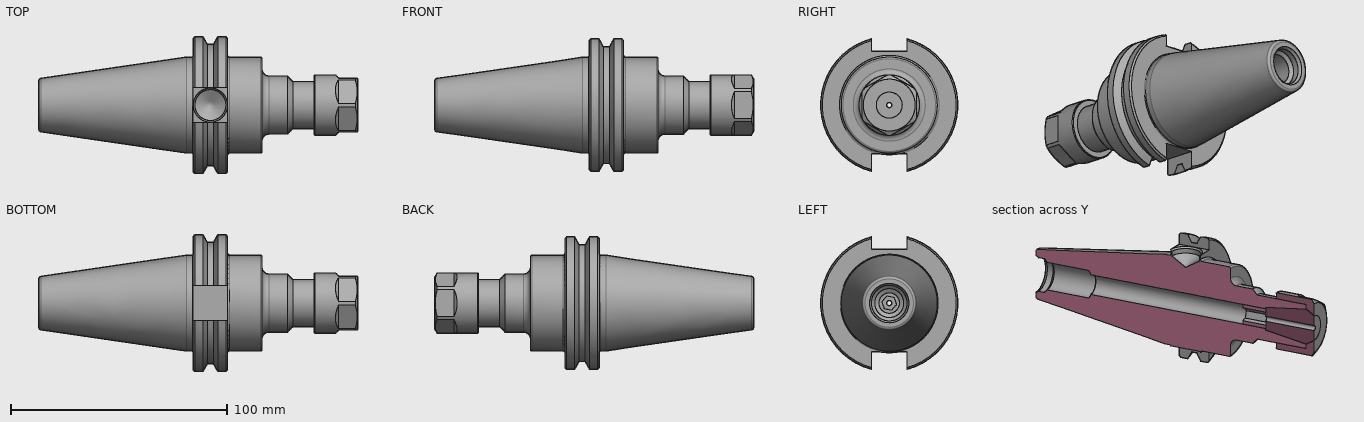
import cadquery as cq
import math


GAUGE_D = 44.45
TAPER_LENGTH = 68.25
SMALL_END_X = -TAPER_LENGTH
TAPER_RATIO = 7 / 24
SMALL_END_D = GAUGE_D - TAPER_RATIO * TAPER_LENGTH
SMALL_END_FILLET = 1.25

FLANGE_D = 63.5
FLANGE_BACK_X = 3.175
FLANGE_WIDTH = 15.875
FLANGE_FRONT_X = FLANGE_BACK_X + FLANGE_WIDTH
FLANGE_MIDDLE_X = (FLANGE_BACK_X + FLANGE_FRONT_X) / 2
FLANGE_CHAMFER = 0.8
FLANGE_BACK_FILLET = 0.4
FLANGE_FRONT_FILLET = 0.8
GROOVE_FLOOR_D = 56.4
GROOVE_FLOOR_WIDTH = 2.8
GROOVE_HALF_ANGLE = 30
GROOVE_DEPTH = (FLANGE_D - GROOVE_FLOOR_D) / 2
GROOVE_TOP_WIDTH = GROOVE_FLOOR_WIDTH + 2 * GROOVE_DEPTH * math.tan(math.radians(GROOVE_HALF_ANGLE))

SLOT_WIDTH = 16.26
UPPER_SLOT_FLOOR = 25.0
LOWER_SLOT_FLOOR = 22.6

DIMPLE_RIM_D = 15.8
DIMPLE_D = 14.3
DIMPLE_WALL_DEPTH = 3.0
DIMPLE_POINT_ANGLE = 118

BODY_FRONT_X = 35.0
BODY_FRONT_FILLET = 0.8
NECK_D = 26.99
NECK_FILLET = 3.175
NECK_CHAMFER_X = 46.7
NOSE_D = 22.0
NOSE_SHOULDER_X = NECK_CHAMFER_X + (NECK_D - NOSE_D) / 2

RIM_D = 18.2
PILOT_D = 16.46
RIM_ANGLE = 30
RIM_DEPTH = (RIM_D - PILOT_D) / 2 / math.tan(math.radians(RIM_ANGLE))
PILOT_LENGTH = 3.0
THREAD_D = 13.39
THREAD_DEPTH = 28.0
DRILL_POINT_ANGLE = 118

NUT_D = 28.0
NUT_BACK_X = 59.05
NUT_FRONT_X = 79.26
NUT_BACK_CHAMFER = 0.4
NUT_ACROSS_FLATS = 25.0
NUT_FLAT_START_X = 70.4
NUT_FRONT_D = 24.0
NUT_FRONT_CHAMFER_ANGLE = 30
FLAT_COUNT = 6
CUTTER_CLEARANCE = 1.0

COLLET_D = 17.01
COLLET_BACK_D = 10.97
COLLET_FRONT_D = 12.04
COLLET_BORE_D = 2.29
COLLET_TAPER_ANGLE = 8
COLLET_FRONT_ANGLE = 30
COLLET_FRONT_LENGTH = (COLLET_D - COLLET_FRONT_D) / 2 / math.tan(math.radians(COLLET_FRONT_ANGLE))
COLLET_TAPER_LENGTH = (COLLET_D - COLLET_BACK_D) / 2 / math.tan(math.radians(COLLET_TAPER_ANGLE))
COLLET_SHOULDER_X = NUT_FRONT_X - COLLET_FRONT_LENGTH
COLLET_BACK_X = COLLET_SHOULDER_X - COLLET_TAPER_LENGTH

SCREW_D = 9.46
SCREW_LENGTH = 12.0
SCREW_BACK_X = COLLET_BACK_X - SCREW_LENGTH
HEX_SIDES = 6
HEX_ACROSS_FLATS = 6.0
HEX_TURN = 11

MATCH_TOLERANCE = 0.01


def turned(points):
    """Solid of revolution about X from a closed outline of (x, radius) points."""
    return cq.Workplane("XY").polyline(points).close().revolve(360, (0, 0, 0), (1, 0, 0))


def cylinder_along_x(diameter, start_x, end_x):
    return cq.Workplane("YZ", origin=(start_x, 0, 0)).circle(diameter / 2).extrude(end_x - start_x)


def fillet_rim(solid, x, diameter, fillet_radius):
    """Round the circular edge of the given diameter that lies in the plane at x."""

    def is_rim(edge):
        same_plane = abs(edge.Center().x - x) < MATCH_TOLERANCE
        same_radius = abs(edge.radius() - diameter / 2) < MATCH_TOLERANCE
        return same_plane and same_radius

    return solid.edges("%CIRCLE").filter(is_rim).fillet(fillet_radius)


def make_shank():
    """Taper, gauge cylinder, body, neck and threaded nose, without the flange."""
    return turned([
        (SMALL_END_X, 0),
        (SMALL_END_X, SMALL_END_D / 2),
        (0, GAUGE_D / 2),
        (BODY_FRONT_X, GAUGE_D / 2),
        (BODY_FRONT_X, NECK_D / 2),
        (NECK_CHAMFER_X, NECK_D / 2),
        (NOSE_SHOULDER_X, NOSE_D / 2),
        (COLLET_SHOULDER_X, NOSE_D / 2),
        (COLLET_SHOULDER_X, 0),
    ])


def make_flange():
    """Chamfered disc with a V-groove around its rim."""
    top_half = GROOVE_TOP_WIDTH / 2
    floor_half = GROOVE_FLOOR_WIDTH / 2
    disc = cylinder_along_x(FLANGE_D, FLANGE_BACK_X, FLANGE_FRONT_X).faces("<X or >X").chamfer(FLANGE_CHAMFER)
    groove = turned([
        (FLANGE_MIDDLE_X - top_half, FLANGE_D / 2),
        (FLANGE_MIDDLE_X - floor_half, GROOVE_FLOOR_D / 2),
        (FLANGE_MIDDLE_X + floor_half, GROOVE_FLOOR_D / 2),
        (FLANGE_MIDDLE_X + top_half, FLANGE_D / 2),
    ])
    return disc.cut(groove)


def make_slot(floor_height, side):
    """Block that clears a drive slot; side is 1 for the upper slot and -1 for the lower one."""
    depth = FLANGE_D / 2 - floor_height
    middle_z = side * (floor_height + depth / 2)
    return cq.Workplane("XY").box(FLANGE_WIDTH, SLOT_WIDTH, depth).translate((FLANGE_MIDDLE_X, 0, middle_z))


def make_dimple():
    """Round pocket with a chamfered rim and a conical bottom, sunk from the upper slot floor."""
    rim_depth = (DIMPLE_RIM_D - DIMPLE_D) / 2
    point_depth = DIMPLE_D / 2 / math.tan(math.radians(DIMPLE_POINT_ANGLE / 2))
    profile = cq.Workplane("XZ").polyline([
        (0, 0),
        (DIMPLE_RIM_D / 2, 0),
        (DIMPLE_D / 2, -rim_depth),
        (DIMPLE_D / 2, -DIMPLE_WALL_DEPTH),
        (0, -DIMPLE_WALL_DEPTH - point_depth),
    ]).close()
    dimple = profile.revolve(360, (0, 0, 0), (0, 1, 0))
    return dimple.translate((FLANGE_MIDDLE_X, 0, UPPER_SLOT_FLOOR))


def make_rear_bore():
    """Stepped bore from the small end: chamfered rim, pilot, thread hole with a conical drill end."""
    drill_cone_length = (THREAD_D - SCREW_D) / 2 / math.tan(math.radians(DRILL_POINT_ANGLE / 2))
    rim_end_x = SMALL_END_X + RIM_DEPTH
    pilot_end_x = rim_end_x + PILOT_LENGTH
    thread_x = pilot_end_x + (PILOT_D - THREAD_D) / 2
    thread_end_x = SMALL_END_X + THREAD_DEPTH
    drill_end_x = thread_end_x + drill_cone_length
    return turned([
        (SMALL_END_X, 0),
        (SMALL_END_X, RIM_D / 2),
        (rim_end_x, PILOT_D / 2),
        (pilot_end_x, PILOT_D / 2),
        (thread_x, THREAD_D / 2),
        (thread_end_x, THREAD_D / 2),
        (drill_end_x, SCREW_D / 2),
        (COLLET_BACK_X, SCREW_D / 2),
        (COLLET_BACK_X, 0),
    ])


def make_collet_blank():
    """Outside of the collet: a long rear taper and a short steep front taper."""
    return turned([
        (COLLET_BACK_X, 0),
        (COLLET_BACK_X, COLLET_BACK_D / 2),
        (COLLET_SHOULDER_X, COLLET_D / 2),
        (NUT_FRONT_X, COLLET_FRONT_D / 2),
        (NUT_FRONT_X, 0),
    ])


def make_holder():
    holder = make_shank().union(make_flange())
    holder = fillet_rim(holder, SMALL_END_X, SMALL_END_D, SMALL_END_FILLET)
    holder = fillet_rim(holder, FLANGE_BACK_X, GAUGE_D, FLANGE_BACK_FILLET)
    holder = fillet_rim(holder, FLANGE_FRONT_X, GAUGE_D, FLANGE_FRONT_FILLET)
    holder = fillet_rim(holder, BODY_FRONT_X, GAUGE_D, BODY_FRONT_FILLET)
    holder = fillet_rim(holder, BODY_FRONT_X, NECK_D, NECK_FILLET)
    holder = holder.cut(make_slot(UPPER_SLOT_FLOOR, 1)).cut(make_slot(LOWER_SLOT_FLOOR, -1))
    return holder.cut(make_dimple()).cut(make_rear_bore()).cut(make_collet_blank())


def make_nut():
    """Round nut with six wrench flats at the front, hollowed for the holder nose and the collet."""
    front_chamfer_radial = (NUT_D - NUT_FRONT_D) / 2
    front_chamfer_length = front_chamfer_radial * math.tan(math.radians(NUT_FRONT_CHAMFER_ANGLE))
    blank = turned([
        (NUT_BACK_X, 0),
        (NUT_BACK_X, NUT_D / 2 - NUT_BACK_CHAMFER),
        (NUT_BACK_X + NUT_BACK_CHAMFER, NUT_D / 2),
        (NUT_FRONT_X - front_chamfer_length, NUT_D / 2),
        (NUT_FRONT_X, NUT_FRONT_D / 2),
        (NUT_FRONT_X, 0),
    ])
    flat_height = NUT_ACROSS_FLATS / 2
    cutter_top = NUT_D / 2 + CUTTER_CLEARANCE
    cutter = (
        cq.Workplane("XY")
        .polyline([
            (NUT_FLAT_START_X, flat_height),
            (NUT_FRONT_X, flat_height),
            (NUT_FRONT_X, cutter_top),
            (NUT_FLAT_START_X - (cutter_top - flat_height), cutter_top),
        ])
        .close()
        .extrude(NUT_D / 2, both=True)
    )
    for index in range(FLAT_COUNT):
        blank = blank.cut(cutter.rotate((0, 0, 0), (1, 0, 0), index * 360 / FLAT_COUNT))
    nose_bore = cylinder_along_x(NOSE_D, NUT_BACK_X, COLLET_SHOULDER_X)
    return blank.cut(nose_bore).cut(make_collet_blank())


def make_collet():
    return make_collet_blank().cut(cylinder_along_x(COLLET_BORE_D, COLLET_BACK_X, NUT_FRONT_X))


def make_stop_screw():
    """Plain cylinder with a hexagonal hole through it, seated against the back of the collet."""
    corner_circle_d = HEX_ACROSS_FLATS / math.cos(math.pi / HEX_SIDES)
    screw = cylinder_along_x(SCREW_D, SCREW_BACK_X, COLLET_BACK_X)
    hex_plane = cq.Workplane("YZ", origin=(SCREW_BACK_X, 0, 0)).transformed(rotate=(0, 0, HEX_TURN))
    return screw.cut(hex_plane.polygon(HEX_SIDES, corner_circle_d).extrude(SCREW_LENGTH))


holder = make_holder()
nut = make_nut()
collet = make_collet()
stop_screw = make_stop_screw()

result = cq.Compound.makeCompound([holder.val(), nut.val(), collet.val(), stop_screw.val()])